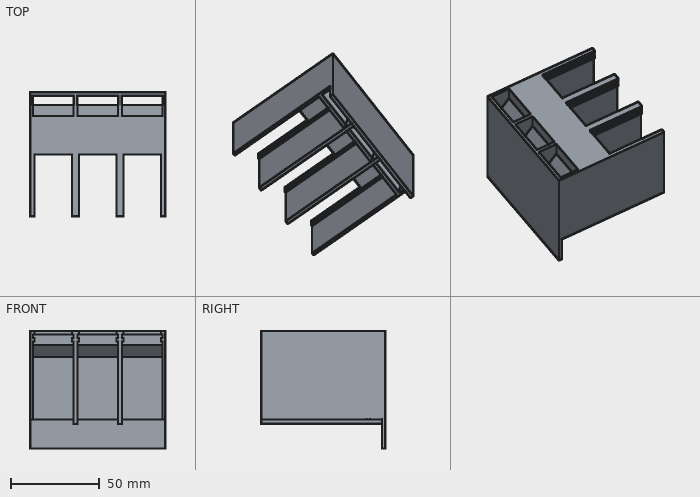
import cadquery as cq


bay_count = 3
bay_width = 23.0
side_wall_thickness = 1.5
divider_thickness = 2.1
wall_length = 70.0
side_wall_height = 50.0
divider_height = 52.5
bay_pitch = bay_width + divider_thickness
total_width = 2 * side_wall_thickness + bay_count * bay_pitch - divider_thickness
left_x = -total_width / 2
right_x = total_width / 2

back_thickness = 2.0
back_height = 66.5
roof_thickness = 2.0
roof_length = 35.2

rail_reach = 1.0
rail_height = 2.0
rail_slot = 2.0

chute_wall_thickness = 2.0
mouth_y = 13.5
throat_y = 7.1
flare_y = 8.7
funnel_top_z = 7.9
funnel_bottom_z = 14.9
flare_top_z = 37.2
flare_bottom_z = 45.0


def block(start_x, width, start_y, end_y, top_z, height):
    """Box from start_y to end_y forward of the back face, hanging down from depth top_z."""
    box = cq.Workplane("XY").box(width, end_y - start_y, height, centered=False)
    return box.translate((start_x, -end_y, -top_z - height))


def bay_start(index):
    return left_x + side_wall_thickness + index * bay_pitch


def back_plate():
    return block(left_x, total_width, 0, back_thickness, 0, back_height)


def walls():
    """Two side walls and the taller dividers between the bays."""
    parts = [
        block(start_x, side_wall_thickness, 0, wall_length, 0, side_wall_height)
        for start_x in (left_x, right_x - side_wall_thickness)
    ]
    for index in range(1, bay_count):
        start_x = bay_start(index) - divider_thickness
        parts.append(block(start_x, divider_thickness, 0, wall_length, 0, divider_height))
    return parts


def roof():
    """Slab behind the open front of the bays, with a chute mouth cut over each bay."""
    slab = block(left_x, total_width, 0, roof_length, 0, roof_thickness)
    for index in range(bay_count):
        slab = slab.cut(block(bay_start(index), bay_width, back_thickness, mouth_y, 0, roof_thickness))
    return slab


def chute_wall():
    """Bent wall parallel to the back plate, offset forward by its own thickness."""
    rear = [
        (mouth_y, 0),
        (mouth_y, funnel_top_z),
        (throat_y, funnel_bottom_z),
        (throat_y, flare_top_z),
        (flare_y, flare_bottom_z),
        (flare_y, side_wall_height),
    ]
    front = [(y + chute_wall_thickness, z) for y, z in reversed(rear)]
    outline = [(-y, -z) for y, z in rear + front]
    half_span = total_width / 2 - side_wall_thickness
    return cq.Workplane("YZ").polyline(outline).close().extrude(half_span, both=True)


def guide_rails():
    """Upper and lower rails on both sides of every bay, from the chute wall to the front."""
    rails = []
    for index in range(bay_count):
        bay_left = bay_start(index)
        for start_x in (bay_left, bay_left + bay_width - rail_reach):
            for top_z in (0, rail_height + rail_slot):
                rails.append(block(start_x, rail_reach, mouth_y, wall_length, top_z, rail_height))
    return rails


result = back_plate()
for part in [*walls(), roof(), chute_wall(), *guide_rails()]:
    result = result.union(part)